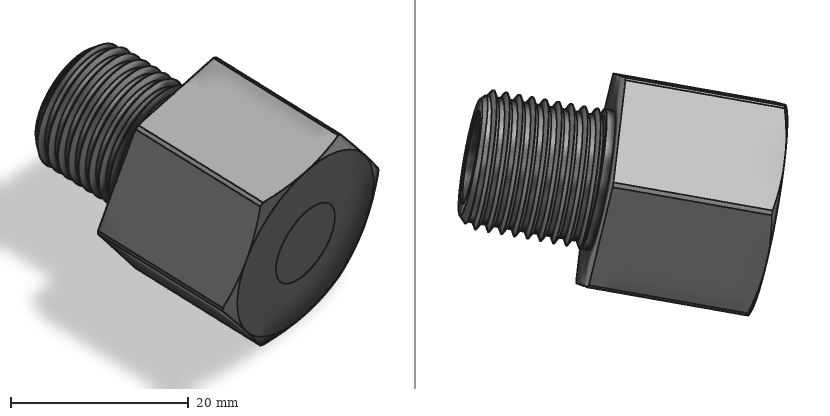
import cadquery as cq
import math

TOTAL_LENGTH = 34.0
ACROSS_FLATS = 24.0
ACROSS_CORNERS = 27.4
HEX_START = 15.0
END_CHAMFER_ANGLE = 22.5

COLLAR_DIAMETER = 16.0
COLLAR_LENGTH = 0.95
COLLAR_START = HEX_START - COLLAR_LENGTH
CORE_DIAMETER = 14.38
NOSE_DIAMETER = 13.4
BORE_DIAMETER = 10.4
BORE_CHAMFER = 0.17

PITCH = 1.5
CREST_DIAMETER = 15.85
CREST_FLAT = 0.05
FIRST_CREST = 1.0
FLANK_ANGLE = 30.0
ROOT_EMBEDDING = 0.15


def rod(start, end, diameter):
    """A round bar along X from start to end."""
    return cq.Workplane("YZ", origin=(start, 0, 0)).circle(diameter / 2).extrude(end - start)


def make_hexagon():
    """Hexagonal bar with turned corners and a conical chamfer at the far end."""
    length = TOTAL_LENGTH - HEX_START
    corner_diameter = ACROSS_FLATS / math.cos(math.pi / 6)
    bar = cq.Workplane("YZ", origin=(HEX_START, 0, 0)).polygon(6, corner_diameter).extrude(length)
    flat_radius = ACROSS_FLATS / 2
    corner_radius = ACROSS_CORNERS / 2
    chamfer_length = (corner_radius - flat_radius) * math.tan(math.radians(END_CHAMFER_ANGLE))
    turned_envelope = (
        cq.Workplane("XY")
        .moveTo(HEX_START, 0)
        .lineTo(HEX_START, corner_radius)
        .lineTo(TOTAL_LENGTH - chamfer_length, corner_radius)
        .lineTo(TOTAL_LENGTH, flat_radius)
        .lineTo(TOTAL_LENGTH, 0)
        .close()
        .revolve(360, (0, 0, 0), (1, 0, 0))
    )
    return bar.intersect(turned_envelope)


def make_ridge():
    """Helical V ridge overrunning both ends of the core, its first crest on the +Z side."""
    root_radius = CORE_DIAMETER / 2 - ROOT_EMBEDDING
    crest_radius = CREST_DIAMETER / 2
    half_crest = CREST_FLAT / 2
    half_root = half_crest + (crest_radius - root_radius) * math.tan(math.radians(FLANK_ANGLE))
    turns = math.ceil(COLLAR_START / PITCH) + 2
    helix = cq.Wire.makeHelix(PITCH, turns * PITCH, CORE_DIAMETER / 2)
    ridge = (
        cq.Workplane("XZ")
        .polyline([
            (root_radius, -half_root),
            (crest_radius, -half_crest),
            (crest_radius, half_crest),
            (root_radius, half_root),
        ])
        .close()
        .sweep(cq.Workplane(obj=helix), isFrenet=True)
    )
    along_x = ridge.rotate((0, 0, 0), (0, 1, 0), 90).rotate((0, 0, 0), (1, 0, 0), 180)
    return along_x.translate((FIRST_CREST - PITCH, 0, 0))


def make_nose_cutter():
    """Ring that leaves a 45 degree cone on the free end of the spigot."""
    nose_radius = NOSE_DIAMETER / 2
    reach = nose_radius / 2
    return (
        cq.Workplane("XY")
        .moveTo(-reach, nose_radius - reach)
        .lineTo(reach, nose_radius + reach)
        .lineTo(-reach, nose_radius + reach)
        .close()
        .revolve(360, (0, 0, 0), (1, 0, 0))
    )


def make_spigot():
    """Threaded core, trimmed flush at the free end and at the collar, with a chamfered nose."""
    ridge = make_ridge()
    ridge = ridge.cut(rod(COLLAR_START, TOTAL_LENGTH, ACROSS_FLATS))
    spigot = rod(0, COLLAR_START, CORE_DIAMETER).union(ridge)
    spigot = spigot.cut(rod(-TOTAL_LENGTH, 0, ACROSS_FLATS))
    return spigot.cut(make_nose_cutter())


def make_housing():
    """Hexagon, collar and threaded spigot in one piece, bored through."""
    collar = rod(COLLAR_START, HEX_START, COLLAR_DIAMETER)
    housing = make_spigot().union(collar).union(make_hexagon())
    housing = housing.cut(rod(0, TOTAL_LENGTH, BORE_DIAMETER))
    mouth_radius = BORE_DIAMETER / 2 + BORE_CHAMFER
    mouth = cq.Solid.makeCone(
        mouth_radius,
        BORE_DIAMETER / 2,
        BORE_CHAMFER,
        pnt=cq.Vector(0, 0, 0),
        dir=cq.Vector(1, 0, 0),
    )
    return housing.cut(cq.Workplane(obj=mouth))


def make_plug():
    """Round plug that closes the bore inside the hexagon."""
    return rod(HEX_START, TOTAL_LENGTH, BORE_DIAMETER)


housing = make_housing()
plug = make_plug()
result = cq.Compound.makeCompound([housing.val(), plug.val()])